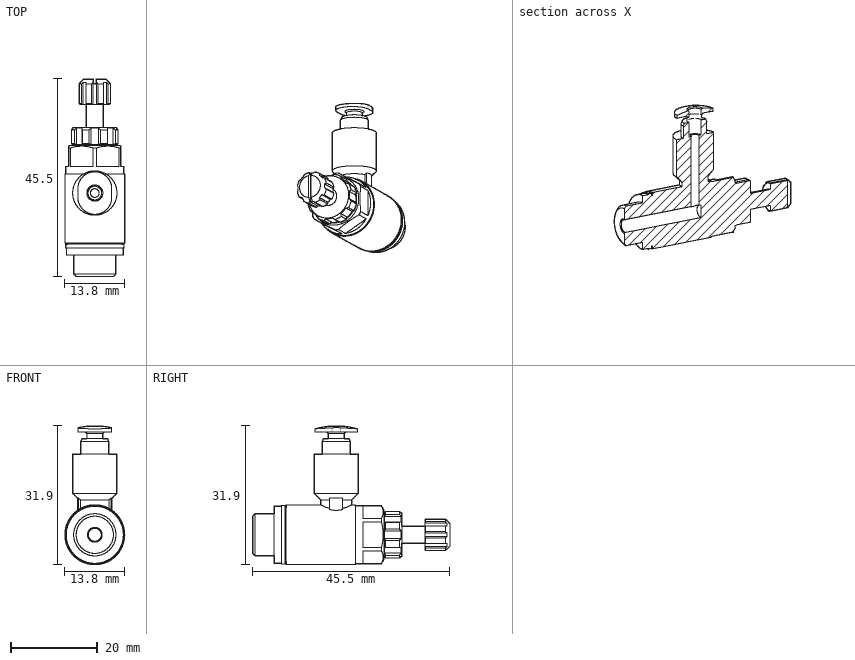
import cadquery as cq
import math


BODY_DIA = 13.8
BODY_BACK = 4.4
BODY_FRONT = -11.55
COLLAR_DIA = 13.4
COLLAR_BACK = 6.15
GROOVE_DIA = 12.4
GROOVE_WIDTH = 0.22
RING_DIA = 13.5
RING_WIDTH = 0.87
FLANGE_DIA = 13.15
FLANGE_FRONT = -14.27
PORT_DIA = 9.73
PORT_FRONT = -19.25
PORT_CHAMFER = 0.58
PORT_BORE_DIA = 3.0
PORT_BORE_MOUTH_DIA = 3.4
PORT_BORE_END = 1.5

HEX_ACROSS_FLATS = 12.0
HEX_BACK = 10.95
HEX_CONE_LENGTH = 0.55
HEX_CONE_ANGLE = 30.0

GRIP_COUNT = 8
NUT_FRONT = 11.15
NUT_BACK = 15.1
NUT_RADIUS = 5.53
NUT_FLOOR_RADIUS = 5.12
NUT_FLOOR_WIDTH = 1.72
NUT_MOUTH_WIDTH = 2.62
NUT_FRONT_CHAMFER = 0.2
NUT_BACK_CHAMFER = 0.55
NUT_SEAT_RADIUS = 5.2
SPINDLE_DIA = 4.0
KNOB_FRONT = 20.38
KNOB_BACK = 26.2
KNOB_RADIUS = 3.7
KNOB_FLOOR_RADIUS = 3.36
KNOB_FLOOR_WIDTH = 0.88
KNOB_MOUTH_WIDTH = 1.46
KNOB_FRONT_CHAMFER = 0.22
KNOB_BACK_CHAMFER = 1.1
SLOT_WIDTH = 0.6
SLOT_DEPTH = 1.0

NECK_DIA = 7.2
NECK_TOP = 8.03
BARREL_DIA = 10.2
BARREL_TOP = 18.55
SLEEVE_DIA = 6.5
SLEEVE_TOP = 22.15
SLEEVE_CHAMFER_WIDTH = 0.3
SLEEVE_CHAMFER_HEIGHT = 0.67
RIB_DIA = 8.0
RIB_WIDTH = 3.0

STEM_DIA = 3.7
STEM_FLARE = 0.35
BUTTON_BOTTOM = 23.63
BUTTON_TOP = 25.0
BUTTON_WIDTH = 7.8
BUTTON_LENGTH = 9.8
DOME_DROP = 0.6
HOSE_BORE_DIA = 3.15
HOSE_BORE_MOUTH_DIA = 3.7
FEED_BORE_DIA = 2.0

OVERLAP = 0.5


def turned_y(points):
    """Solid of revolution about Y from (radius, y) points."""
    return cq.Workplane("XY").polyline(points).close().revolve(360, (0, 0), (0, 1))


def turned_z(points):
    """Solid of revolution about Z from (radius, z) points."""
    return cq.Workplane("XZ").polyline(points).close().revolve(360, (0, 0), (0, 1))


def cylinder_y(diameter, start, end):
    return cq.Workplane("XZ", origin=(0, start, 0)).circle(diameter / 2).extrude(start - end)


def cylinder_z(diameter, start, end):
    return cq.Workplane("XY", origin=(0, 0, start)).circle(diameter / 2).extrude(end - start)


def make_body():
    body_r = BODY_DIA / 2
    collar_r = COLLAR_DIA / 2
    groove_r = GROOVE_DIA / 2
    ring_r = RING_DIA / 2
    flange_r = FLANGE_DIA / 2
    port_r = PORT_DIA / 2
    ring_back = BODY_FRONT - GROOVE_WIDTH
    ring_front = ring_back - RING_WIDTH
    return turned_y([
        (0, COLLAR_BACK),
        (collar_r, COLLAR_BACK),
        (collar_r, BODY_BACK),
        (body_r, BODY_BACK),
        (body_r, BODY_FRONT),
        (groove_r, BODY_FRONT),
        (groove_r, ring_back),
        (ring_r, ring_back),
        (ring_r, ring_front),
        (flange_r, ring_front),
        (flange_r, FLANGE_FRONT),
        (port_r, FLANGE_FRONT),
        (port_r, PORT_FRONT + PORT_CHAMFER),
        (port_r - PORT_CHAMFER, PORT_FRONT),
        (0, PORT_FRONT),
    ])


def make_hexagon():
    """Hexagon with flats facing X, its corners rounded to the collar and coned at the back."""
    start = COLLAR_BACK - OVERLAP
    corner_dia = HEX_ACROSS_FLATS / math.cos(math.radians(30))
    prism = (
        cq.Workplane("XZ", origin=(0, start, 0))
        .transformed(rotate=(0, 0, 30))
        .polygon(6, corner_dia)
        .extrude(start - HEX_BACK)
    )
    corner_r = COLLAR_DIA / 2
    cone_fall = HEX_CONE_LENGTH / math.tan(math.radians(HEX_CONE_ANGLE))
    envelope = turned_y([
        (0, start),
        (corner_r, start),
        (corner_r, HEX_BACK - HEX_CONE_LENGTH),
        (corner_r - cone_fall, HEX_BACK),
        (0, HEX_BACK),
    ])
    return prism.intersect(envelope)


def make_grip(front, back, radius, floor_radius, floor_width, mouth_width, front_chamfer, back_chamfer):
    """Round grip along Y with sloped-wall grooves that leave a cylindrical floor."""
    blank = turned_y([
        (0, front),
        (floor_radius, front),
        (radius, front + front_chamfer),
        (radius, back - back_chamfer),
        (radius - back_chamfer, back),
        (0, back),
    ])
    floor_edge = math.sqrt(floor_radius**2 - (floor_width / 2) ** 2)
    mouth_edge = math.sqrt(radius**2 - (mouth_width / 2) ** 2)
    wall_slope = (mouth_width - floor_width) / 2 / (mouth_edge - floor_edge)
    outer_edge = radius + OVERLAP
    outer_half = mouth_width / 2 + wall_slope * (outer_edge - mouth_edge)
    groove = (
        cq.Workplane("XZ", origin=(0, front - OVERLAP, 0))
        .moveTo(-floor_width / 2, floor_edge)
        .threePointArc((0, floor_radius), (floor_width / 2, floor_edge))
        .lineTo(outer_half, outer_edge)
        .lineTo(-outer_half, outer_edge)
        .close()
        .extrude(front - back - 2 * OVERLAP)
    )
    grip = blank
    for index in range(GRIP_COUNT):
        grip = grip.cut(groove.rotate((0, 0, 0), (0, 1, 0), index * 360 / GRIP_COUNT))
    return grip


def make_lock_nut():
    nut = make_grip(
        NUT_FRONT, NUT_BACK, NUT_RADIUS, NUT_FLOOR_RADIUS,
        NUT_FLOOR_WIDTH, NUT_MOUTH_WIDTH, NUT_FRONT_CHAMFER, NUT_BACK_CHAMFER,
    )
    seat = cylinder_y(2 * NUT_SEAT_RADIUS, HEX_BACK - OVERLAP, NUT_FRONT)
    return nut.union(seat)


def make_knob():
    """Knob on its spindle, with a screwdriver slot across the back end."""
    knob = make_grip(
        KNOB_FRONT, KNOB_BACK, KNOB_RADIUS, KNOB_FLOOR_RADIUS,
        KNOB_FLOOR_WIDTH, KNOB_MOUTH_WIDTH, KNOB_FRONT_CHAMFER, KNOB_BACK_CHAMFER,
    )
    slot = cq.Workplane("XY").box(SLOT_WIDTH, 2 * SLOT_DEPTH, 2 * KNOB_RADIUS + OVERLAP)
    spindle = cylinder_y(SPINDLE_DIA, NUT_BACK - OVERLAP, KNOB_FRONT + OVERLAP)
    return knob.cut(slot.translate((0, KNOB_BACK, 0))).union(spindle)


def make_fitting():
    neck_r = NECK_DIA / 2
    barrel_r = BARREL_DIA / 2
    sleeve_r = SLEEVE_DIA / 2
    barrel_bottom = NECK_TOP + barrel_r - neck_r
    fitting = turned_z([
        (0, 0),
        (neck_r, 0),
        (neck_r, NECK_TOP),
        (barrel_r, barrel_bottom),
        (barrel_r, BARREL_TOP),
        (sleeve_r, BARREL_TOP),
        (sleeve_r, SLEEVE_TOP - SLEEVE_CHAMFER_HEIGHT),
        (sleeve_r - SLEEVE_CHAMFER_WIDTH, SLEEVE_TOP),
        (0, SLEEVE_TOP),
    ])
    rib_slab = cq.Workplane("XY").rect(RIB_DIA, RIB_WIDTH).extrude(barrel_bottom)
    ribs = cylinder_z(RIB_DIA, 0, barrel_bottom).intersect(rib_slab)
    return fitting.union(ribs)


def make_button():
    """Domed button with two straight sides, on a stem that flares out below it."""
    stem_r = STEM_DIA / 2
    stem = turned_z([
        (0, SLEEVE_TOP - OVERLAP),
        (stem_r, SLEEVE_TOP - OVERLAP),
        (stem_r, BUTTON_BOTTOM - STEM_FLARE),
        (stem_r + STEM_FLARE, BUTTON_BOTTOM),
        (0, BUTTON_BOTTOM),
    ])
    plate = (
        cq.Workplane("XY", origin=(0, 0, BUTTON_BOTTOM))
        .slot2D(BUTTON_LENGTH, BUTTON_WIDTH, 90)
        .extrude(BUTTON_TOP - BUTTON_BOTTOM)
    )
    mouth_r = HOSE_BORE_MOUTH_DIA / 2
    end_r = BUTTON_LENGTH / 2
    dome_radius = (end_r**2 - mouth_r**2) / (2 * DOME_DROP)
    dome_center = BUTTON_TOP - math.sqrt(dome_radius**2 - mouth_r**2)
    dome = cq.Workplane("XY").sphere(dome_radius).translate((0, 0, dome_center))
    return stem.union(plate.intersect(dome))


def make_bores():
    """Stepped hose bore meeting the blind port bore, both with chamfered mouths."""
    port_r = PORT_BORE_DIA / 2
    port_mouth_r = PORT_BORE_MOUTH_DIA / 2
    port_bore = turned_y([
        (0, PORT_FRONT),
        (port_mouth_r, PORT_FRONT),
        (port_r, PORT_FRONT + port_mouth_r - port_r),
        (port_r, PORT_BORE_END),
        (0, PORT_BORE_END),
    ])
    hose_r = HOSE_BORE_DIA / 2
    mouth_r = HOSE_BORE_MOUTH_DIA / 2
    feed_r = FEED_BORE_DIA / 2
    bore_top = BUTTON_TOP + OVERLAP
    hose_bore = turned_z([
        (0, 0),
        (feed_r, 0),
        (feed_r, BARREL_TOP),
        (hose_r, BARREL_TOP),
        (hose_r, BUTTON_TOP - mouth_r + hose_r),
        (mouth_r, BUTTON_TOP),
        (mouth_r, bore_top),
        (0, bore_top),
    ])
    return port_bore.union(hose_bore)


result = (
    make_body()
    .union(make_hexagon())
    .union(make_lock_nut())
    .union(make_knob())
    .union(make_fitting())
    .union(make_button())
    .cut(make_bores())
)